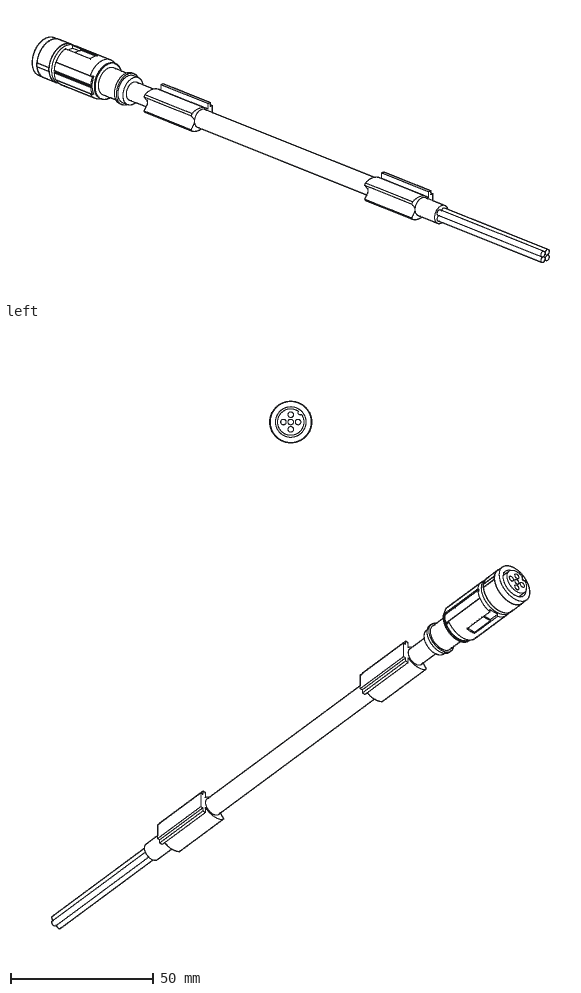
import cadquery as cq
import math

length = 244.0

insert_radius = 4.6
insert_protrusion = 1.2
contact_circle_radius = 2.55
contact_radius = 1.0
contact_depth = 7.3
key_radius = 0.7

nut_radius = 7.2
nut_end = 10.7
nut_bore_radius = 5.4
nut_bore_depth = 5.0
band_start = 3.7
band_end = 9.5
band_radius = 7.3
side_radius = 7.45
side_rib_width = 1.5

grip_start = 12.2
grip_end = 28.8
grip_radius = 7.3
taper_end = 31.0
taper_radius = 6.3
collar_radius = 6.7
collar_length = 0.5
pad_width = 6.8
pad_end = 30.0
pad_groove_width = 0.7
pad_groove_depth = 0.5
window_length = 12.2
window_width = 3.7
window_depth = 0.7
notch_length = 4.0
notch_depth = 1.2

relief_end = 43.5
relief_radius = 5.1
ring_start = 40.0
ring_length = 1.0
ring_radius = 5.9

cable_radius = 3.5
cable_end = 193.5
wire_radius = 1.05
wire_gap = 0.1

sleeve_starts = (53.7, 161.0)
sleeve_length = 23.0
lip_y = -5.1
lip_half_height = 2.7
shoulder_y = -4.6
shoulder_half_height = 3.5
crown_half_height = 4.1
back_wall_y = 3.5
crown_end_half_height = 2.5
back_wall_half_height = 4.6
back_step_y = 4.6
back_plate_half_height = 3.2
back_plate_y = 5.5
groove_mouth_y = -4.0
groove_mouth_half_height = 1.2


def yz_plane(x):
    """Workplane across the cable axis, local axes along Y and Z."""
    return cq.Workplane("YZ", origin=(x, 0, 0))


def cylinder(start, end, radius):
    """Round section of the part between two places along X."""
    return yz_plane(start).circle(radius).extrude(end - start)


def box(x, y, z):
    """Box from (low, high) ranges."""
    size = [high - low for low, high in (x, y, z)]
    return cq.Workplane("XY").box(*size, centered=False).translate((x[0], y[0], z[0]))


def make_nut():
    nut = cylinder(insert_protrusion, nut_end, nut_radius)
    nut = nut.union(cylinder(band_start, band_end, band_radius))
    half_rib = side_rib_width / 2
    ribs = cylinder(band_start, band_end, side_radius).intersect(
        box((band_start, band_end), (-side_radius, side_radius), (-half_rib, half_rib))
    )
    return nut.union(ribs).cut(cylinder(0, nut_bore_depth, nut_bore_radius))


def make_insert():
    insert = cylinder(0, grip_start, insert_radius)
    on_axis = [(0, 0)]
    around = []
    for angle in (0, math.pi / 2, math.pi, 3 * math.pi / 2):
        around.append((contact_circle_radius * math.cos(angle), contact_circle_radius * math.sin(angle)))
    contacts = yz_plane(0).pushPoints(on_axis + around).circle(contact_radius).extrude(contact_depth)
    key_offset = insert_radius / math.sqrt(2)
    key = yz_plane(0).center(-key_offset, key_offset).circle(key_radius).extrude(nut_bore_depth)
    return insert.cut(contacts).cut(key)


def make_pad_groove(side):
    """Narrow groove along the middle of the pad on one Y side."""
    y_range = sorted((side * (side_radius - pad_groove_depth), side * side_radius))
    half_width = pad_groove_width / 2
    return box((grip_start, pad_end), y_range, (-half_width, half_width))


def make_window(side, recess_length, depth):
    """Rectangular recess in the grip on one Z side, open at the front of the grip."""
    z_range = sorted((side * (grip_radius - depth), side * grip_radius))
    half_width = window_width / 2
    return box((grip_start, grip_start + recess_length), (-half_width, half_width), z_range)


def make_grip():
    grip = cylinder(grip_start, grip_end, grip_radius)
    taper = (
        cq.Workplane("XY")
        .polyline([(grip_end, 0), (grip_end, grip_radius), (taper_end, taper_radius), (taper_end, 0)])
        .close()
        .revolve(360, (0, 0, 0), (1, 0, 0))
    )
    grip = grip.union(taper).union(cylinder(taper_end, taper_end + collar_length, collar_radius))
    half_pad = pad_width / 2
    for side in (-1, 1):
        y_range = sorted((side * relief_radius, side * side_radius))
        pad = box((grip_start, pad_end), y_range, (-half_pad, half_pad))
        grip = grip.union(pad.intersect(cylinder(grip_start, pad_end, side_radius)))
        grip = grip.cut(make_pad_groove(side))
        grip = grip.cut(make_window(side, window_length, window_depth))
        grip = grip.cut(make_window(side, notch_length, notch_depth))
    return grip


def make_strain_relief():
    relief = cylinder(taper_end, relief_end, relief_radius)
    return relief.union(cylinder(ring_start, ring_start + ring_length, ring_radius))


def make_sleeve(start):
    """Marker carrier: grooved on the -Y side, with a taller stepped wall on the +Y side."""
    return (
        yz_plane(start)
        .moveTo(lip_y, lip_half_height)
        .lineTo(shoulder_y, shoulder_half_height)
        .threePointArc((0, crown_half_height), (back_wall_y, crown_end_half_height))
        .lineTo(back_wall_y, back_wall_half_height)
        .lineTo(back_step_y, back_wall_half_height)
        .lineTo(back_step_y, back_plate_half_height)
        .lineTo(back_plate_y, back_plate_half_height)
        .lineTo(back_plate_y, -back_plate_half_height)
        .lineTo(back_step_y, -back_plate_half_height)
        .lineTo(back_step_y, -back_wall_half_height)
        .lineTo(back_wall_y, -back_wall_half_height)
        .lineTo(back_wall_y, -crown_end_half_height)
        .threePointArc((0, -crown_half_height), (shoulder_y, -shoulder_half_height))
        .lineTo(lip_y, -lip_half_height)
        .lineTo(groove_mouth_y, -groove_mouth_half_height)
        .threePointArc((-cable_radius, 0), (groove_mouth_y, groove_mouth_half_height))
        .close()
        .extrude(sleeve_length)
    )


def make_wires():
    offset = wire_radius + wire_gap / 2
    centres = [(y, z) for y in (-offset, offset) for z in (-offset, offset)]
    return yz_plane(cable_end).pushPoints(centres).circle(wire_radius).extrude(length - cable_end)


result = make_nut().union(make_insert()).union(make_grip()).union(make_strain_relief())
result = result.union(cylinder(relief_end, cable_end, cable_radius)).union(make_wires())
for sleeve_start in sleeve_starts:
    result = result.union(make_sleeve(sleeve_start))